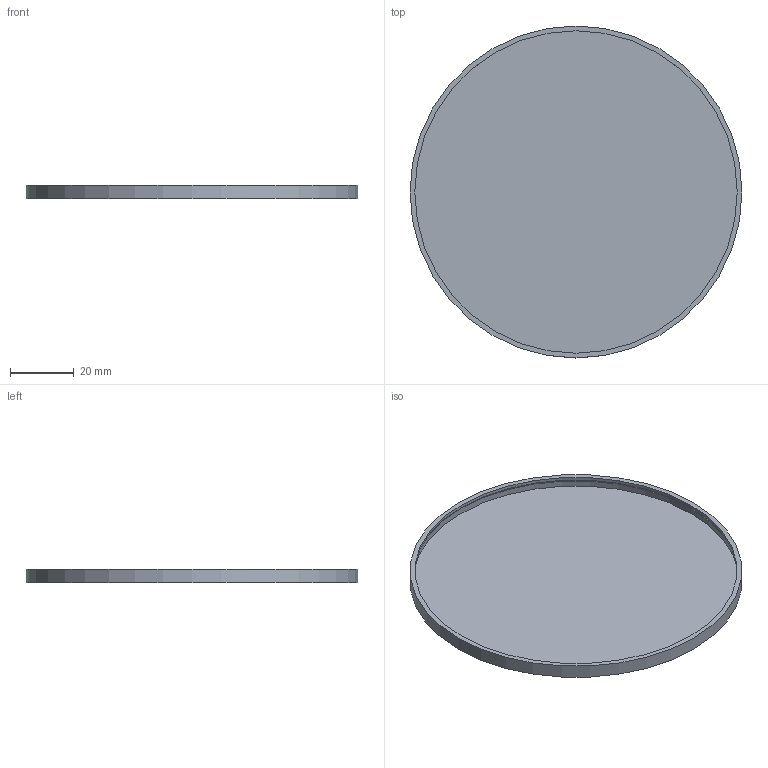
import cadquery as cq


outer_diameter = 104.0
recess_diameter = 102.0
lip_diameter = 101.0

total_height = 4.26
floor_thickness = 0.6
lip_height = 1.0
lip_taper_height = 0.7

outer_radius = outer_diameter / 2
recess_radius = recess_diameter / 2
lip_radius = lip_diameter / 2
lip_bottom = total_height - lip_height
taper_bottom = lip_bottom - lip_taper_height


def make_tray():
    """Revolve half of the cross-section, drawn in the XZ plane, around the Z axis."""
    profile = (
        cq.Workplane("XZ")
        .moveTo(0, 0)
        .lineTo(outer_radius, 0)
        .lineTo(outer_radius, total_height)
        .lineTo(lip_radius, total_height)
        .lineTo(lip_radius, lip_bottom)
        .lineTo(recess_radius, taper_bottom)
        .lineTo(recess_radius, floor_thickness)
        .lineTo(0, floor_thickness)
        .close()
    )
    return profile.revolve(360, (0, 0), (0, 1))


result = make_tray()